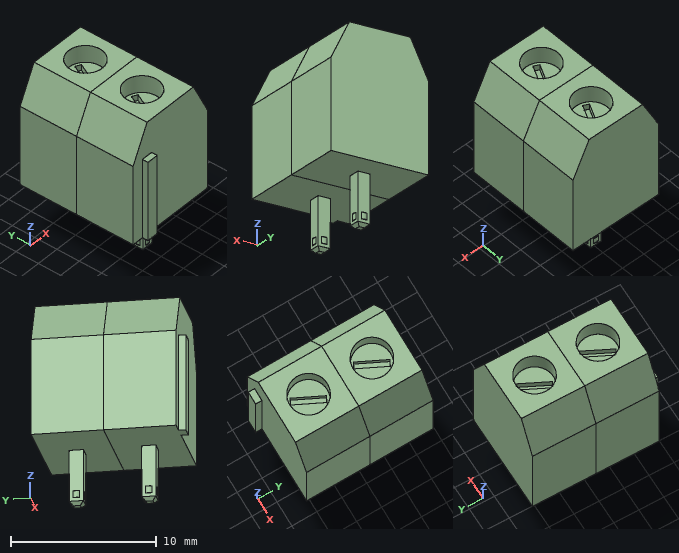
import cadquery as cq
import math


total_height = 14.0
total_depth = 10.65
block_width = 8.0
pole_count = 2

rib_width = 1.0
rib_thickness = 0.5
rib_height = 7.0
rib_offset = 1.0

block_height = 10.0
shoulder_height = rib_height
top_width = 5.0
pole_depth = (total_depth - rib_thickness) / pole_count

well_diameter = 3.0
well_depth = 1.5
slot_length = 2.5
slot_width = 0.49
slot_depth = 0.5
slot_angle = math.degrees(math.atan(2))

pin_width = 1.0
pin_length = total_height - block_height
tip_chamfer = 0.25

collar_diameter = 1.09
collar_height = 0.5
collar_base = 0.5


def make_block():
    """Bevelled block of one pole, standing on Z = 0 and starting at Y = 0."""
    half_width = block_width / 2
    half_top = top_width / 2
    outline = [
        (-half_width, 0),
        (half_width, 0),
        (half_width, shoulder_height),
        (half_top, block_height),
        (-half_top, block_height),
        (-half_width, shoulder_height),
    ]
    return cq.Workplane("XZ").polyline(outline).close().extrude(-pole_depth)


def make_screw_well():
    """Material removed for the round well and the slot of the screw head."""
    floor = block_height - well_depth
    floor_plane = cq.Workplane("XY", origin=(0, pole_depth / 2, floor))
    well = floor_plane.circle(well_diameter / 2).extrude(well_depth)
    slot = (
        floor_plane.transformed(rotate=(0, 0, slot_angle))
        .rect(slot_length, slot_width)
        .extrude(-slot_depth)
    )
    return well.union(slot)


def make_pin():
    """Square solder pin below the block, with a chamfered tip and a collar."""
    tip = cq.Workplane("XY", origin=(0, pole_depth / 2, -pin_length))
    shank = tip.rect(pin_width, pin_width).extrude(pin_length).faces("<Z").chamfer(tip_chamfer)
    collar = tip.workplane(offset=collar_base).circle(collar_diameter / 2).extrude(collar_height)
    return shank.union(collar)


def make_rib():
    """Upright rib on the -Y face of the end pole."""
    corner = (rib_offset - block_width / 2, -rib_thickness, 0)
    return cq.Workplane("XY", origin=corner).rect(rib_width, rib_thickness, centered=False).extrude(rib_height)


def make_pole(is_end):
    """One pole as a single solid; only the end pole has the rib."""
    pole = make_block().cut(make_screw_well()).union(make_pin())
    if is_end:
        pole = pole.union(make_rib())
    return pole


poles = []
for index in range(pole_count):
    pole = make_pole(is_end=(index == 0))
    poles.append(pole.translate((0, index * pole_depth, 0)).val())

result = cq.Compound.makeCompound(poles)